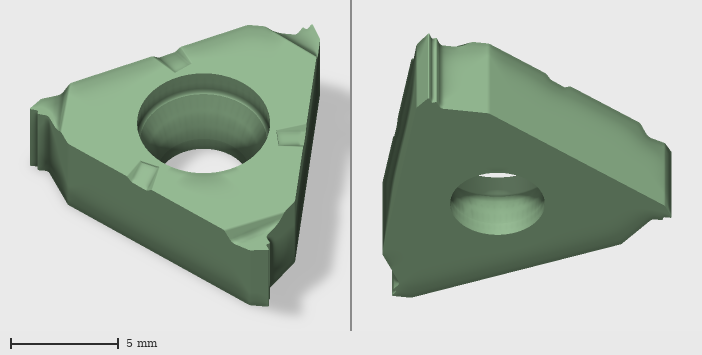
import cadquery as cq
import math

CORNERS = 3
ANGLES = [i * 360 / CORNERS for i in range(CORNERS)]
Z_AXIS = ((0, 0, 0), (0, 0, 1))

THICKNESS = 4.28
SIDE_DISTANCE = 4.75
RELIEF_DISTANCE = 6.27
FLANK_DISTANCE = 7.19
RELIEF_ROUND = 0.31
FLANK_ROUND = 0.28

CREST_Y = -0.24
LEDGE_Y = -0.01
STEP_X = 7.75
TIP_ROUND = 0.04
STEP_ROUND = 0.07
LEDGE_ROUND = 0.05
ROOT_ROUND = 0.24

BORE_DIAMETER = 4.4
HEAD_DIAMETER = 6.17
HEAD_DEPTH = 1.07
SEAT_DIAMETER = 5.89
SEAT_DEPTH = 1.3
SEAT_END_DEPTH = 3.59

VALLEY_X = 6.82
VALLEY_Y = -1.41
VALLEY_DEPTH = 0.59
VALLEY_ROUND = 0.32
GROOVE_HEADING = -88.5
GROOVE_FALL = 5.0
GROOVE_RAKE = 8.0
GROOVE_WALL = 57.0
GROOVE_LIP_ROUND = 0.15
GROOVE_REACH = 5.64

POCKET_Y = 0.23
POCKET_DEPTH = 0.24
POCKET_FLOOR_WIDTH = 0.8
POCKET_LENGTH = 1.27
POCKET_HEADING = 13.0
POCKET_RISE = 7.5
POCKET_WALL = 42.0
POCKET_END_LEAN = 20.0
POCKET_FLOOR_ROUND = 0.17
POCKET_LIP_ROUND = 0.1
POCKET_OVERRUN = 0.85


def slope(angle):
    return math.tan(math.radians(angle))


def direction(heading, rise=0):
    """Unit vector from its angle in plan and its angle above the XY plane."""
    h, r = math.radians(heading), math.radians(rise)
    return cq.Vector(math.cos(r) * math.cos(h), math.cos(r) * math.sin(h), math.sin(r))


def crossing(angle_a, distance_a, angle_b, distance_b):
    """Point where two lines meet, each given by its normal angle and centre distance."""
    a, b = direction(angle_a), direction(angle_b)
    determinant = a.x * b.y - a.y * b.x
    x = (distance_a * b.y - distance_b * a.y) / determinant
    y = (distance_b * a.x - distance_a * b.x) / determinant
    return x, y


def turned(point, angle):
    """Plan point rotated about the centre."""
    rotated = direction(angle) * point[0] + direction(angle + 90) * point[1]
    return rotated.x, rotated.y


def prism(section, path):
    """Solid swept by a closed section along a straight path that may be oblique to it."""
    face = cq.Face.makeFromWires(section.wires().val())
    return cq.Workplane(cq.Solid.extrudeLinear(face, path))


def cut_around(body, cutter):
    for angle in ANGLES:
        body = body.cut(cutter.rotate(*Z_AXIS, angle))
    return body


def round_lip_around(body, point, radius):
    """Round the top-face edge nearest to a plan point, and its rotated copies."""
    for angle in ANGLES:
        x, y = turned(point, angle)
        lip = cq.selectors.NearestToPointSelector((x, y, THICKNESS))
        body = body.faces(">Z").edges(lip).fillet(radius)
    return body


def make_plate():
    corner = [
        (crossing(-60, SIDE_DISTANCE, -30, FLANK_DISTANCE), FLANK_ROUND),
        (crossing(-30, FLANK_DISTANCE, 90, CREST_Y), TIP_ROUND),
        ((STEP_X, CREST_Y), STEP_ROUND),
        ((STEP_X, LEDGE_Y), LEDGE_ROUND),
        (crossing(30, RELIEF_DISTANCE, 90, LEDGE_Y), ROOT_ROUND),
        (crossing(30, RELIEF_DISTANCE, 60, SIDE_DISTANCE), RELIEF_ROUND),
    ]
    outline = [turned(point, angle) for angle in ANGLES for point, _ in corner]
    plate = cq.Workplane("XY").polyline(outline).close().extrude(THICKNESS)
    for point, radius in corner:
        for angle in ANGLES:
            x, y = turned(point, angle)
            upright = cq.selectors.NearestToPointSelector((x, y, THICKNESS / 2))
            plate = plate.edges("|Z").edges(upright).fillet(radius)
    return plate


def make_hole():
    bore = BORE_DIAMETER / 2
    head = HEAD_DIAMETER / 2
    seat = SEAT_DIAMETER / 2
    flare_width = seat - bore
    flare_height = SEAT_END_DEPTH - SEAT_DEPTH
    flare_radius = (flare_width**2 + flare_height**2) / (2 * flare_width)
    return (
        cq.Workplane("XZ")
        .moveTo(0, THICKNESS)
        .lineTo(head, THICKNESS)
        .lineTo(head, THICKNESS - HEAD_DEPTH)
        .tangentArcPoint((seat, THICKNESS - SEAT_DEPTH), relative=False)
        .radiusArc((bore, THICKNESS - SEAT_END_DEPTH), -flare_radius)
        .lineTo(bore, 0)
        .lineTo(0, 0)
        .close()
        .revolve(360, (0, 0, 0), (0, 1, 0))
    )


def make_groove():
    run = direction(GROOVE_HEADING, -GROOVE_FALL)
    start = cq.Vector(VALLEY_X, VALLEY_Y, THICKNESS - VALLEY_DEPTH) - run * GROOVE_REACH
    floor_end = (GROOVE_REACH, GROOVE_REACH * slope(GROOVE_RAKE))
    wall_top = (-GROOVE_REACH / slope(GROOVE_WALL), GROOVE_REACH)
    section = (
        cq.Workplane(cq.Plane(start, xDir=(1, 0, 0), normal=(0, -1, 0)))
        .polyline([(0, 0), floor_end, (GROOVE_REACH, GROOVE_REACH), wall_top])
        .close()
    )
    cutter = prism(section, run * (2 * GROOVE_REACH))
    return cutter.edges(cq.selectors.ParallelDirSelector(run)).edges("<Z").fillet(VALLEY_ROUND)


def make_pocket():
    run = direction(POCKET_HEADING, POCKET_RISE)
    start = cq.Vector(-SIDE_DISTANCE, POCKET_Y, THICKNESS - POCKET_DEPTH) - run * POCKET_OVERRUN
    height = 2 * POCKET_DEPTH
    floor_half = POCKET_FLOOR_WIDTH / 2
    top_half = floor_half + height / slope(POCKET_WALL)
    end_plane = cq.Plane(
        start,
        xDir=direction(POCKET_HEADING + 90),
        normal=direction(POCKET_HEADING, -POCKET_END_LEAN),
    )
    section = (
        cq.Workplane(end_plane)
        .polyline([(-floor_half, 0), (floor_half, 0), (top_half, height), (-top_half, height)])
        .close()
    )
    cutter = prism(section, run * (POCKET_OVERRUN + POCKET_LENGTH))
    return cutter.edges(cq.selectors.ParallelDirSelector(run)).edges("<Z").fillet(POCKET_FLOOR_ROUND)


def groove_lip():
    """Plan point on the edge between the groove wall and the top face."""
    return VALLEY_X - VALLEY_DEPTH / slope(GROOVE_WALL), VALLEY_Y


def pocket_lips():
    """Plan points halfway along the two long top edges of the pocket."""
    half_length = POCKET_LENGTH / 2
    depth = POCKET_DEPTH - half_length * slope(POCKET_RISE)
    offset = POCKET_FLOOR_WIDTH / 2 + depth / slope(POCKET_WALL)
    middle = cq.Vector(-SIDE_DISTANCE, POCKET_Y, 0) + direction(POCKET_HEADING) * half_length
    across = direction(POCKET_HEADING + 90) * offset
    return [(p.x, p.y) for p in (middle - across, middle + across)]


result = make_plate().cut(make_hole())
result = cut_around(result, make_groove())
result = cut_around(result, make_pocket())
result = round_lip_around(result, groove_lip(), GROOVE_LIP_ROUND)
for lip_point in pocket_lips():
    result = round_lip_around(result, lip_point, POCKET_LIP_ROUND)